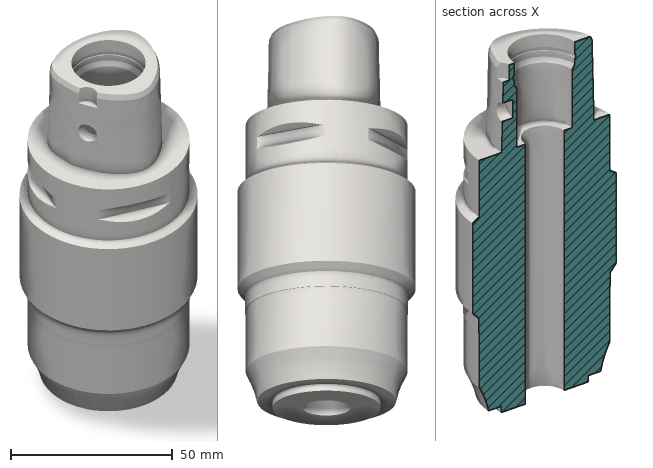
import cadquery as cq
import math

total_height = 122.0
shank_chamfer_height = 1.7
flange_top = 92.0
collar_chamfer_top = 72.0
collar_top = 70.5
collar_bottom = 38.7
sleeve_top = 36.1
joint_height = 31.2
nose_taper_top = 11.7
nose_ring_height = 2.2

collar_radius = 55.0 / 2
flange_radius = 25.0
sleeve_radius = 25.3
clamp_radius = 25.0
nose_waist_radius = 22.8
nose_taper_radius = 21.5
nose_ring_radius = 16.7

shank_base_radius = 17.7
shank_taper = 1 / 40
lobe_height = 1.2
lobe_count = 3
lobe_pitch = 2 * math.pi / lobe_count
spline_steps = 8
shank_chamfer = 0.7

mouth_radius = 11.5
groove_radius = 11.8
groove_top_depth = 4.5
groove_bottom_depth = 5.9
mouth_depth = 7.9
bore_radius = 10.5
bore_chamfer_depth = 9.5
bore_depth = total_height - flange_top
through_radius = 7.3

notch_radius = 3.3
notch_depth = 5.4
notch_inset = 2.2
side_hole_radius = 3.2
side_hole_drop = 16.0
side_hole_floor = 12.2

slot_count = 4
slot_start_angle = 45
slot_center_height = 82.0
slot_floor_distance = 22.0
slot_floor_height = 4.0
slot_wall_depth = 0.6
slot_flare = 0.55


def lobed_point(mean_radius, angle, height):
    """Point on a curve of constant width whose three lobes include one on +Y."""
    support = mean_radius - lobe_height * math.sin(lobe_count * angle)
    slope = -lobe_count * lobe_height * math.cos(lobe_count * angle)
    return cq.Vector(
        support * math.cos(angle) - slope * math.sin(angle),
        support * math.sin(angle) + slope * math.cos(angle),
        height,
    )


def lobed_wire(mean_radius, height):
    """Closed lobed outline made of one spline from each flat to the next."""
    edges = []
    for lobe in range(lobe_count):
        start = -math.pi / 2 + lobe * lobe_pitch
        angles = [start + lobe_pitch * step / spline_steps for step in range(spline_steps + 1)]
        tangents = [cq.Vector(-math.sin(angle), math.cos(angle), 0) for angle in (angles[0], angles[-1])]
        points = [lobed_point(mean_radius, angle, height) for angle in angles]
        edges.append(cq.Edge.makeSpline(points, tangents=tangents))
    return cq.Wire.assembleEdges(edges)


def make_shank():
    chamfer_start = total_height - shank_chamfer_height
    tip_radius = shank_base_radius - (chamfer_start - flange_top) * shank_taper
    base = lobed_wire(shank_base_radius, flange_top)
    tip = lobed_wire(tip_radius, chamfer_start)
    face = lobed_wire(tip_radius - shank_chamfer, total_height)
    return cq.Workplane(obj=cq.Solid.makeLoft([base, tip, face], True))


def make_body():
    nose_waist_height = (nose_ring_height + nose_taper_top) / 2
    return (
        cq.Workplane("XZ")
        .lineTo(nose_ring_radius, 0)
        .lineTo(nose_ring_radius, nose_ring_height)
        .lineTo(nose_taper_radius, nose_ring_height)
        .threePointArc((nose_waist_radius, nose_waist_height), (clamp_radius, nose_taper_top))
        .lineTo(clamp_radius, joint_height)
        .lineTo(sleeve_radius, joint_height)
        .lineTo(sleeve_radius, sleeve_top)
        .lineTo(collar_radius, collar_bottom)
        .lineTo(collar_radius, collar_top)
        .lineTo(flange_radius, collar_chamfer_top)
        .lineTo(flange_radius, flange_top)
        .lineTo(0, flange_top)
        .close()
        .revolve(360, (0, 0), (0, 1))
    )


def make_bore():
    profile = [
        (0, 0),
        (through_radius, 0),
        (through_radius, total_height - bore_depth),
        (bore_radius, total_height - bore_depth),
        (bore_radius, total_height - bore_chamfer_depth),
        (mouth_radius, total_height - mouth_depth),
        (mouth_radius, total_height - groove_bottom_depth),
        (groove_radius, total_height - groove_bottom_depth),
        (groove_radius, total_height - groove_top_depth),
        (mouth_radius, total_height - groove_top_depth),
        (mouth_radius, total_height),
        (0, total_height),
    ]
    return cq.Workplane("XZ").polyline(profile).close().revolve(360, (0, 0), (0, 1))


def make_notch():
    """Upright half-round notch in the tip of the shank."""
    tip_flat = shank_base_radius - lobe_height - (total_height - flange_top) * shank_taper
    return (
        cq.Workplane("XY", origin=(0, notch_inset - tip_flat - notch_radius, total_height - notch_depth))
        .circle(notch_radius)
        .extrude(notch_depth)
    )


def make_side_hole():
    return (
        cq.Workplane("XZ", origin=(0, -side_hole_floor, total_height - side_hole_drop))
        .circle(side_hole_radius)
        .extrude(collar_radius)
    )


def make_gripper_slot(angle):
    """Flat-floored slot with short straight walls that flare outward."""
    outer = collar_radius
    wall_end = slot_floor_distance + slot_wall_depth
    half_floor = slot_floor_height / 2
    half_mouth = half_floor + (outer - wall_end) * slot_flare
    profile = [
        (slot_floor_distance, slot_center_height - half_floor),
        (wall_end, slot_center_height - half_floor),
        (outer, slot_center_height - half_mouth),
        (outer, slot_center_height + half_mouth),
        (wall_end, slot_center_height + half_floor),
        (slot_floor_distance, slot_center_height + half_floor),
    ]
    slot = cq.Workplane("XZ").polyline(profile).close().extrude(outer, both=True)
    return slot.rotate((0, 0, 0), (0, 0, 1), angle)


result = make_body().union(make_shank())
result = result.cut(make_bore()).cut(make_notch()).cut(make_side_hole())
for index in range(slot_count):
    result = result.cut(make_gripper_slot(slot_start_angle + index * 360 / slot_count))